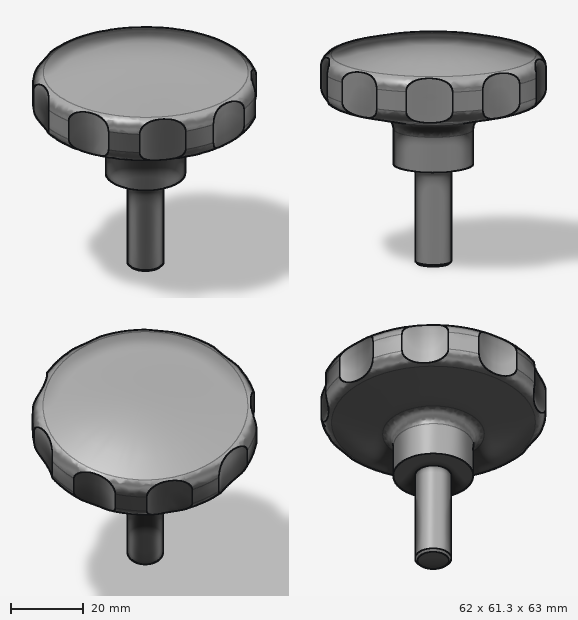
import cadquery as cq
import math

total_height = 63.0
stud_length = 28.0
hub_length = 13.0

stud_diameter = 10.0
stud_chamfer = 0.7

hub_diameter = 22.0
head_diameter = 62.0
dome_radius = 97.0
underside_angle = 15.0
rim_fillet = 4.0
hub_fillet = 4.0

grip_count = 9
grip_radius = 16.0
grip_center_distance = 45.0
first_grip_angle = -90.0

stud_radius = stud_diameter / 2
hub_radius = hub_diameter / 2
head_radius = head_diameter / 2
cone_bottom = stud_length + hub_length
cone_rise = (head_radius - hub_radius) * math.tan(math.radians(underside_angle))
cone_top = cone_bottom + cone_rise


def dome_height(radius):
    """Height of the domed top at a given distance from the axis."""
    dome_center = total_height - dome_radius
    return dome_center + math.sqrt(dome_radius**2 - radius**2)


def make_stud():
    """Plain round stud with a chamfered tip, ending at the hub."""
    stud = cq.Workplane("XY").circle(stud_radius).extrude(stud_length)
    return stud.faces("<Z").edges().chamfer(stud_chamfer)


def make_head():
    """Hub, conical underside and domed top as one turned body."""
    profile = (
        cq.Workplane("XZ")
        .moveTo(0, stud_length)
        .lineTo(hub_radius, stud_length)
        .lineTo(hub_radius, cone_bottom)
        .lineTo(head_radius, cone_top)
        .lineTo(head_radius, dome_height(head_radius))
        .threePointArc((head_radius / 2, dome_height(head_radius / 2)), (0, total_height))
        .close()
    )
    return profile.revolve(360, (0, 0, 0), (0, 1, 0))


def circle_at(height):
    """Selector for the circular edge centred on the axis at a given height."""
    return cq.selectors.NearestToPointSelector((0, 0, height))


def round_edges(head):
    """Round both rim edges and the inner corner between hub and underside."""
    rim_top = circle_at(dome_height(head_radius))
    rim_bottom = circle_at(cone_top)
    hub_corner = circle_at(cone_bottom)
    return head.edges(rim_top + rim_bottom).fillet(rim_fillet).edges(hub_corner).fillet(hub_fillet)


def cut_grips(head):
    """Scoop evenly spaced cylindrical finger grips out of the rim."""
    cutters = (
        cq.Workplane("XY")
        .workplane(offset=stud_length)
        .polarArray(grip_center_distance, first_grip_angle, 360, grip_count)
        .circle(grip_radius)
        .extrude(total_height - stud_length, combine=False)
    )
    return head.cut(cutters)


result = cut_grips(round_edges(make_head())).union(make_stud())